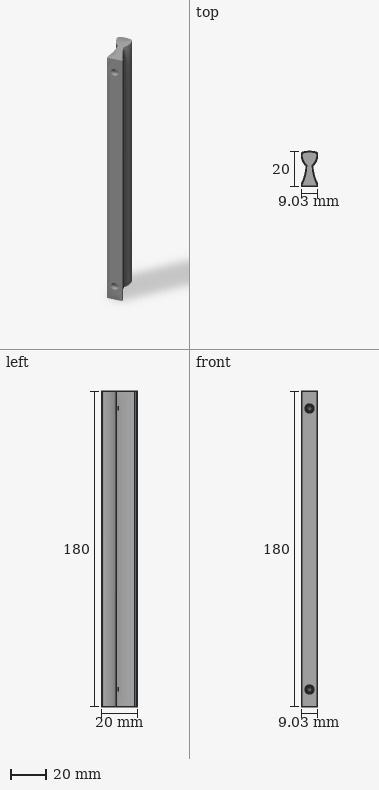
import cadquery as cq
import math

length = 180.0
width = 9.0
depth = 20.0

front_face_y = -depth / 2
back_y = depth / 2
half_width = width / 2
foot_height = 1.3
waist_height = 11.9
waist_half_width = 1.8
flank_mid_height = 6.0
flank_mid_half_width = 2.7
grip_mid_height = 14.5
grip_mid_half_width = 3.8
shoulder_height = 18.2
corner_mid_height = 19.0
corner_mid_half_width = 4.1
crown_height = 19.6
crown_half_width = 3.0

hole_spacing = 160.2
hole_diameter = 3.2
countersink_diameter = 4.9
countersink_angle = 90.0
hole_depth = 10.8
drill_tip_angle = 118.0


def section_point(side, half, height):
    """Point of the cross-section; side is +1 for +X and -1 for -X."""
    return (side * half, front_face_y + height)


def make_bar():
    """Extrude the waisted cross-section along Z, centred on the origin."""
    right, left = 1, -1
    profile = (
        cq.Workplane("XY", origin=(0, 0, -length / 2))
        .moveTo(*section_point(left, half_width, 0))
        .lineTo(*section_point(right, half_width, 0))
        .lineTo(*section_point(right, half_width, foot_height))
        .threePointArc(
            section_point(right, flank_mid_half_width, flank_mid_height),
            section_point(right, waist_half_width, waist_height),
        )
        .threePointArc(
            section_point(right, grip_mid_half_width, grip_mid_height),
            section_point(right, half_width, shoulder_height),
        )
        .threePointArc(
            section_point(right, corner_mid_half_width, corner_mid_height),
            section_point(right, crown_half_width, crown_height),
        )
        .threePointArc((0, back_y), section_point(left, crown_half_width, crown_height))
        .threePointArc(
            section_point(left, corner_mid_half_width, corner_mid_height),
            section_point(left, half_width, shoulder_height),
        )
        .threePointArc(
            section_point(left, grip_mid_half_width, grip_mid_height),
            section_point(left, waist_half_width, waist_height),
        )
        .threePointArc(
            section_point(left, flank_mid_half_width, flank_mid_height),
            section_point(left, half_width, foot_height),
        )
        .close()
    )
    return profile.extrude(length)


def make_hole_cutter():
    """Revolve a drilled hole with a countersunk mouth and a conical drill tip."""
    hole_radius = hole_diameter / 2
    countersink_radius = countersink_diameter / 2
    countersink_depth = (countersink_radius - hole_radius) / math.tan(math.radians(countersink_angle / 2))
    tip_depth = hole_radius / math.tan(math.radians(drill_tip_angle / 2))
    half_section = (
        cq.Workplane("XY", origin=(0, front_face_y, 0))
        .lineTo(countersink_radius, 0)
        .lineTo(hole_radius, countersink_depth)
        .lineTo(hole_radius, hole_depth)
        .lineTo(0, hole_depth + tip_depth)
        .close()
    )
    return half_section.revolve(360, (0, 0, 0), (0, 1, 0))


def cut_mounting_holes(bar):
    """Sink one blind countersunk hole near each end of the front face."""
    cutter = make_hole_cutter()
    for side in (-1, 1):
        bar = bar.cut(cutter.translate((0, 0, side * hole_spacing / 2)))
    return bar


result = cut_mounting_holes(make_bar())